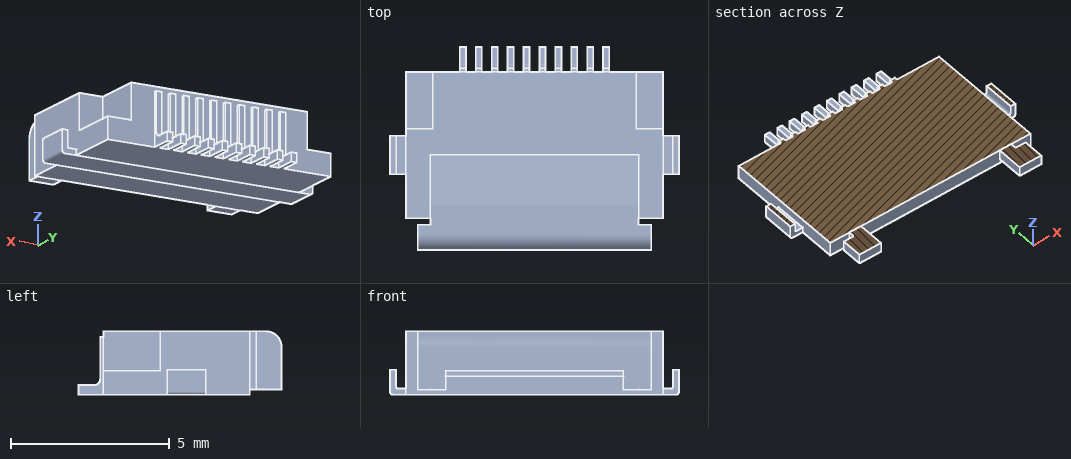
import cadquery as cq


total_width = 9.1
total_depth = 6.4
height = 2.0

housing_width = 8.1
housing_front = 1.0
housing_back = 5.61
ear_width = 0.855
ear_depth = 1.79
ear_height = 0.76
floor_height = 0.58

contact_count = 10
contact_pitch = 0.5
contact_width = 0.2
contact_height = 1.82
stem_depth = 0.11
foot_height = 0.31
contact_fillet = 0.18

head_width = 7.35
head_depth = 0.8
head_bottom = 0.16
head_radius = 0.5
neck_width = 6.55
neck_back = 3.0
slope_front = 1.42
slope_drop = 0.27
slot_width = 5.59
slot_top = 0.755

bracket_front = 2.38
bracket_depth = 1.22
bracket_thickness = 0.2
bracket_height = 0.79
bend_outer_radius = 0.1
bend_inner_radius = 0.055


def block(width, front, back, bottom, top):
    """Box centred on X between the given Y and Z limits."""
    box = cq.Workplane("XY").box(width, back - front, top - bottom, centered=(True, False, False))
    return box.translate((0, front, bottom))


def make_contact(x):
    """L-shaped contact: a stem up the back of the housing and a solder foot behind it."""
    stem_back = housing_back + stem_depth
    return (
        cq.Workplane("YZ", origin=(x - contact_width / 2, 0, 0))
        .moveTo(housing_back, 0)
        .lineTo(total_depth, 0)
        .lineTo(total_depth, foot_height)
        .lineTo(stem_back + contact_fillet, foot_height)
        .radiusArc((stem_back, foot_height + contact_fillet), contact_fillet)
        .lineTo(stem_back, contact_height)
        .lineTo(housing_back, contact_height)
        .close()
        .extrude(contact_width)
    )


def make_housing():
    """Block with low rear ears, an actuator pocket, a bracket channel and the contacts."""
    body = block(housing_width, housing_front, housing_back, 0, height)

    ear_x = (housing_width - ear_width) / 2
    ear_cut = block(ear_width, housing_back - ear_depth, housing_back, ear_height, height)
    for side in (-1, 1):
        body = body.cut(ear_cut.translate((side * ear_x, 0, 0)))

    body = body.cut(block(neck_width, housing_front, neck_back, floor_height, height))

    bracket_back = bracket_front + bracket_depth
    body = body.cut(block(housing_width, bracket_front, bracket_back, 0, bracket_thickness))

    first_x = -contact_pitch * (contact_count - 1) / 2
    for index in range(contact_count):
        body = body.union(make_contact(first_x + index * contact_pitch))
    return body


def make_actuator():
    """Rounded head bar with a narrower neck that fills the housing pocket."""
    head = block(head_width, 0, head_depth, head_bottom, height)
    head = head.faces("<Y").edges(">Z").fillet(head_radius)
    bridge = block(neck_width, head_depth, housing_front, head_bottom, height)

    neck = (
        cq.Workplane("YZ", origin=(-neck_width / 2, 0, 0))
        .moveTo(housing_front, floor_height)
        .lineTo(neck_back, floor_height)
        .lineTo(neck_back, height - slope_drop)
        .lineTo(slope_front, height)
        .lineTo(housing_front, height)
        .close()
        .extrude(neck_width)
    )

    cable_slot = block(slot_width, 0, neck_back, head_bottom, slot_top)
    return head.union(bridge).union(neck).cut(cable_slot)


def make_bracket():
    """Sheet-metal strip under the housing with both ends bent up."""
    back = bracket_front + bracket_depth
    strip = block(total_width, bracket_front, back, 0, bracket_height)
    strip = strip.faces("<Z").edges("|Y").fillet(bend_outer_radius)
    inner_width = total_width - 2 * bracket_thickness
    inside = block(inner_width, bracket_front, back, bracket_thickness, bracket_height)
    inside = inside.faces("<Z").edges("|Y").fillet(bend_inner_radius)
    return strip.cut(inside)


housing = make_housing()
actuator = make_actuator()
bracket = make_bracket()

result = cq.Compound.makeCompound([housing.solids().val(), actuator.solids().val(), bracket.solids().val()])